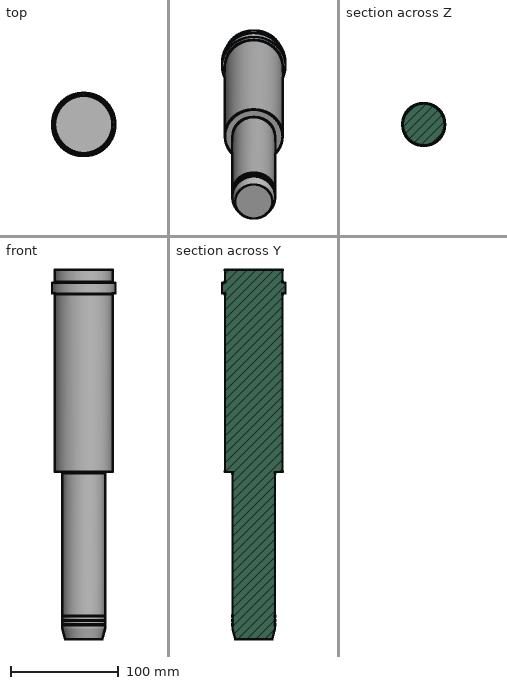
import cadquery as cq
import math

total_height = 343.0
pillar_radius = 40.0 / 2
sleeve_radius = 54.0 / 2
collar_radius = 59.0 / 2

sleeve_length = 188.0
sleeve_bottom = total_height - sleeve_length
head_length = 12.0
collar_height = 10.0
collar_top = total_height - head_length
collar_bottom = collar_top - collar_height
edge_chamfer = 0.5

taper_length = 10.0
taper_angle = 15.0
tip_chamfer_height = 0.5
tip_chamfer_width = 0.25
taper_inset = (taper_length - tip_chamfer_height) * math.tan(math.radians(taper_angle))
taper_end_radius = pillar_radius - taper_inset
tip_radius = taper_end_radius - tip_chamfer_width

ring_groove_count = 3
ring_groove_pitch = 4.0
ring_groove_width = 1.0
ring_groove_depth = 0.3
lowest_ring_groove_bottom = 13.0

relief_width = 1.0
relief_depth = 0.5


def cylinder(radius, bottom, height):
    """Solid cylinder on the Z axis."""
    return cq.Workplane("XY", origin=(0, 0, bottom)).circle(radius).extrude(height)


def groove_ring(shaft_radius, depth, bottom, width):
    """Ring to remove from a shaft to leave a square groove of the given depth."""
    return cylinder(shaft_radius, bottom, width).cut(cylinder(shaft_radius - depth, bottom, width))


def make_pillar():
    """Round pillar with a tapered tip, revolved about Z."""
    profile = [
        (0, 0),
        (tip_radius, 0),
        (taper_end_radius, tip_chamfer_height),
        (pillar_radius, taper_length),
        (pillar_radius, sleeve_bottom),
        (0, sleeve_bottom),
    ]
    pillar = cq.Workplane("XZ").polyline(profile).close().revolve(360, (0, 0), (0, 1))
    for index in range(ring_groove_count):
        bottom = lowest_ring_groove_bottom + index * ring_groove_pitch
        pillar = pillar.cut(groove_ring(pillar_radius, ring_groove_depth, bottom, ring_groove_width))
    relief_bottom = sleeve_bottom - relief_width
    return pillar.cut(groove_ring(pillar_radius, relief_depth, relief_bottom, relief_width))


def make_sleeve():
    """Sleeve body with both end edges chamfered and a relief on each side of the collar."""
    sleeve = cylinder(sleeve_radius, sleeve_bottom, sleeve_length)
    sleeve = sleeve.faces("<Z or >Z").edges().chamfer(edge_chamfer)
    for relief_bottom in (collar_bottom - relief_width, collar_top):
        sleeve = sleeve.cut(groove_ring(sleeve_radius, relief_depth, relief_bottom, relief_width))
    return sleeve


def make_collar():
    """Collar disc with its upper edge chamfered."""
    collar = cylinder(collar_radius, collar_bottom, collar_height)
    return collar.faces(">Z").edges().chamfer(edge_chamfer)


result = make_pillar().union(make_sleeve()).union(make_collar())